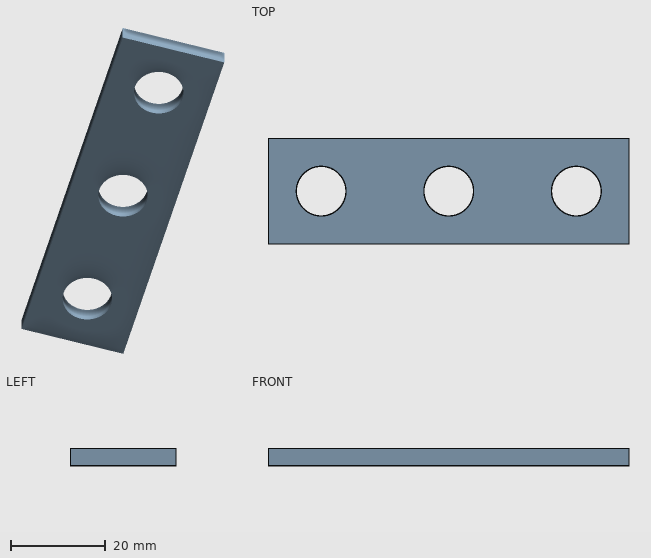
import cadquery as cq

length = 76.2
width = 22.3
thickness = 3.7

hole_count = 3
hole_diameter = 10.45
end_distance = width / 2
hole_pitch = (length - 2 * end_distance) / (hole_count - 1)

bar = cq.Workplane("XY").box(length, width, thickness)

result = (
    bar.faces(">Z")
    .workplane()
    .rarray(hole_pitch, width, hole_count, 1)
    .hole(hole_diameter)
)